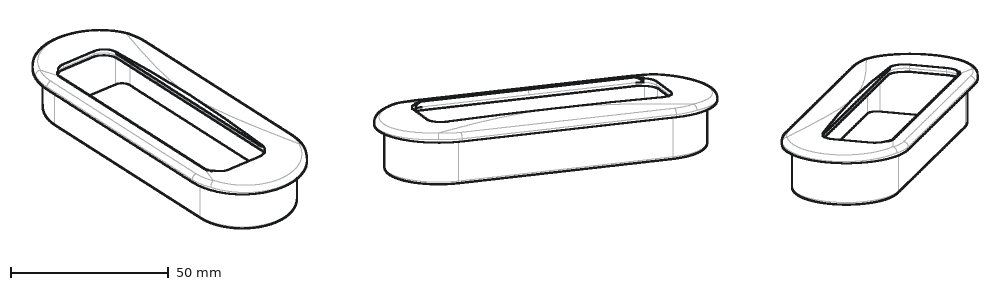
import cadquery as cq
import math


length = 114.0
width = 41.0
height = 18.7
end_centre = (length - width) / 2

cup_height = 15.0
cup_inset = 3.2
cup_bottom_round = 1.0
cup_floor = 0.9
recess_corner = 3.2

crown_radius = 1083.0
roof_radius = 135.7
ridge_y = 8.7
roof_centre_z = height - math.sqrt(roof_radius**2 - ridge_y**2)
rim_round = 1.7

opening_length = 83.0
opening_back = 7.8
opening_front = -14.6
opening_corner = 5.0
opening_straight = opening_length / 2 - opening_corner
lip_underside_round = 1.6
front_lip_radius = 1.6
front_lip_width = 1.0
front_lip_taper = 2.3
back_bevel_bottom = 17.4

recess_length = opening_length + 2 * lip_underside_round
recess_half_width = lip_underside_round - opening_front

clearance = 5.7

tolerance = 0.01


def stadium(overall_length, overall_width, base_z, thickness):
    return cq.Workplane("XY", origin=(0, 0, base_z)).slot2D(overall_length, overall_width).extrude(thickness)


def rounded_block(block_length, back_y, front_y, corner, base_z, top_z):
    return (
        cq.Workplane("XY", origin=(0, (back_y + front_y) / 2, base_z))
        .rect(block_length, back_y - front_y)
        .extrude(top_z - base_z)
        .edges("|Z")
        .fillet(corner)
    )


def is_rim_edge(edge):
    """True for an edge that runs along the outside outline, above the underside of the cover."""
    middle = edge.positionAt(0.5)
    past_centre = max(abs(middle.x) - end_centre, 0)
    on_outline = abs(math.hypot(past_centre, middle.y) - width / 2) < tolerance
    above_underside = edge.BoundingBox().zmin > cup_height + tolerance
    return on_outline and above_underside


def make_cover_blank():
    crown = (
        cq.Workplane("XZ", origin=(0, 0, height - crown_radius))
        .circle(crown_radius)
        .extrude(width, both=True)
    )
    roof = cq.Workplane("YZ", origin=(0, 0, roof_centre_z)).circle(roof_radius).extrude(length, both=True)
    plate = stadium(length, width, cup_height, height - cup_height + clearance)
    plate = plate.intersect(crown).intersect(roof)
    rim_edges = [edge for edge in plate.edges().vals() if is_rim_edge(edge)]
    return plate.newObject(rim_edges).fillet(rim_round)


def round_front_lip(plate):
    """Round the front edge of the opening; the rounding runs out into the corners."""
    lip_edge_y = opening_front - front_lip_width
    axis_y = opening_front - front_lip_radius
    lip_rise = math.sqrt(front_lip_radius**2 - (lip_edge_y - axis_y) ** 2)
    lip_edge_z = roof_centre_z + math.sqrt(roof_radius**2 - lip_edge_y**2)
    axis_z = lip_edge_z - lip_rise
    long_end = opening_straight + front_lip_taper
    strip = (
        cq.Workplane("XY", origin=(0, 0, axis_z))
        .moveTo(-opening_straight, lip_edge_y)
        .lineTo(opening_straight, lip_edge_y)
        .lineTo(long_end, opening_front)
        .lineTo(long_end, opening_front + front_lip_width)
        .lineTo(-long_end, opening_front + front_lip_width)
        .lineTo(-long_end, opening_front)
        .close()
        .extrude(height)
    )
    lip = cq.Workplane("YZ", origin=(0, axis_y, axis_z)).circle(front_lip_radius).extrude(length, both=True)
    return plate.cut(strip.cut(lip))


def bevel_back_lip(plate):
    """Bevel the back edge of the opening: widest at the ridge, running out at both ends."""
    bevel = (
        cq.Workplane("XY", origin=(0, 0, back_bevel_bottom))
        .moveTo(-opening_straight, 0)
        .lineTo(opening_straight, 0)
        .lineTo(opening_straight, opening_back)
        .lineTo(-opening_straight, opening_back)
        .close()
        .workplane(offset=height - back_bevel_bottom)
        .moveTo(-opening_straight, 0)
        .lineTo(opening_straight, 0)
        .lineTo(opening_straight, opening_back)
        .threePointArc((0, ridge_y), (-opening_straight, opening_back))
        .close()
        .loft(ruled=True)
    )
    return plate.cut(bevel)


def make_cover():
    opening = rounded_block(
        opening_length, opening_back, opening_front, opening_corner,
        cup_height - clearance, height + clearance,
    )
    plate = make_cover_blank().cut(opening)
    opening_rim = plate.faces("<Z").val().innerWires()[0]
    plate = plate.newObject(opening_rim.Edges()).fillet(lip_underside_round)
    return bevel_back_lip(round_front_lip(plate))


def make_cup():
    body = stadium(length - 2 * cup_inset, width - 2 * cup_inset, 0, cup_height)
    body = body.faces("<Z").edges().fillet(cup_bottom_round)
    recess = rounded_block(
        recess_length, recess_half_width, -recess_half_width, recess_corner,
        cup_floor, cup_height + clearance,
    )
    return body.cut(recess)


cover = make_cover()
cup = make_cup()
result = cq.Compound.makeCompound([cover.val(), cup.val()])